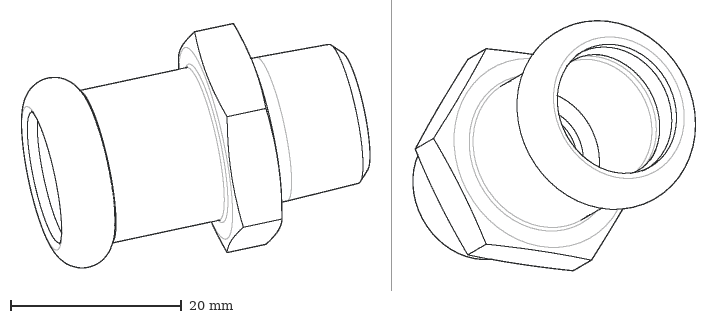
import cadquery as cq
import math

total_length = 38.0

tube_diameter = 18.3
bead_diameter = 22.72
bead_length = 6.45
bead_face_diameter = 17.2
mouth_diameter = 15.7
socket_land = 0.87
socket_diameter = 15.3
seal_ridge_diameter = 14.97
lip_length = 0.5
seal_ridge_start = 1.7
seal_ridge_end = 4.83
lead_in_length = 0.75

hex_across_flats = 24.0
hex_start = 20.0
hex_length = 6.0
hex_chamfer_diameter = 23.0
hex_chamfer_angle = 15.0
neck_fillet = 0.35

thread_base_diameter = 17.25
thread_base_length = 2.0
thread_taper = 1 / 16
thread_chamfer = 1.2

bore_diameter = 10.0
bore_chamfer = 0.55

socket_depth = hex_start
hex_end = hex_start + hex_length


def revolve_profile(profile):
    """Revolve a (radius, Y) profile around the Y axis."""
    return profile.close().revolve(360, (0, 0, 0), (0, 1, 0))


def make_socket_body():
    face_radius = bead_face_diameter / 2
    tube_radius = tube_diameter / 2
    profile = (
        cq.Workplane("XY")
        .lineTo(face_radius, 0)
        .threePointArc((bead_diameter / 2, bead_length / 2), (face_radius, bead_length))
        .lineTo(tube_radius, bead_length)
        .lineTo(tube_radius, hex_start - neck_fillet)
        .radiusArc((tube_radius + neck_fillet, hex_start), neck_fillet)
        .lineTo(0, hex_start)
    )
    return revolve_profile(profile)


def make_hexagon():
    corner_radius = hex_across_flats / math.sqrt(3)
    chamfer_radius = hex_chamfer_diameter / 2
    chamfer_drop = (corner_radius - chamfer_radius) * math.tan(math.radians(hex_chamfer_angle))
    prism = (
        cq.Workplane("XZ", origin=(0, hex_start, 0))
        .polygon(6, 2 * corner_radius)
        .extrude(-hex_length)
    )
    envelope = revolve_profile(
        cq.Workplane("XY")
        .moveTo(0, hex_start)
        .lineTo(chamfer_radius, hex_start)
        .lineTo(corner_radius, hex_start + chamfer_drop)
        .lineTo(corner_radius, hex_end - chamfer_drop)
        .lineTo(chamfer_radius, hex_end)
        .lineTo(0, hex_end)
    )
    return prism.intersect(envelope)


def make_thread():
    base_radius = thread_base_diameter / 2
    taper_start = hex_end + thread_base_length
    taper_end = total_length - thread_chamfer
    tip_radius = base_radius - (taper_end - taper_start) * thread_taper / 2
    profile = (
        cq.Workplane("XY")
        .moveTo(0, hex_end)
        .lineTo(base_radius, hex_end)
        .lineTo(base_radius, taper_start)
        .lineTo(tip_radius, taper_end)
        .lineTo(tip_radius - thread_chamfer, total_length)
        .lineTo(0, total_length)
    )
    return revolve_profile(profile)


def make_cavity():
    mouth_radius = mouth_diameter / 2
    lip_width = (bead_face_diameter - mouth_diameter) / 2
    lip_radius = (lip_width**2 + lip_length**2) / (2 * lip_length)
    socket_radius = socket_diameter / 2
    bore_radius = bore_diameter / 2
    seal_ridge_middle = (seal_ridge_start + seal_ridge_end) / 2
    profile = (
        cq.Workplane("XY")
        .lineTo(bead_face_diameter / 2, 0)
        .radiusArc((mouth_radius, lip_length), lip_radius)
        .lineTo(mouth_radius, seal_ridge_start)
        .threePointArc((seal_ridge_diameter / 2, seal_ridge_middle), (mouth_radius, seal_ridge_end))
        .lineTo(mouth_radius, seal_ridge_end + socket_land)
        .lineTo(socket_radius, seal_ridge_end + socket_land + lead_in_length)
        .lineTo(socket_radius, socket_depth)
        .lineTo(bore_radius + bore_chamfer, socket_depth)
        .lineTo(bore_radius, socket_depth + bore_chamfer)
        .lineTo(bore_radius, total_length)
        .lineTo(0, total_length)
    )
    return revolve_profile(profile)


fitting = make_socket_body().union(make_hexagon()).union(make_thread()).cut(make_cavity())
result = fitting.translate((0, -total_length / 2, 0))